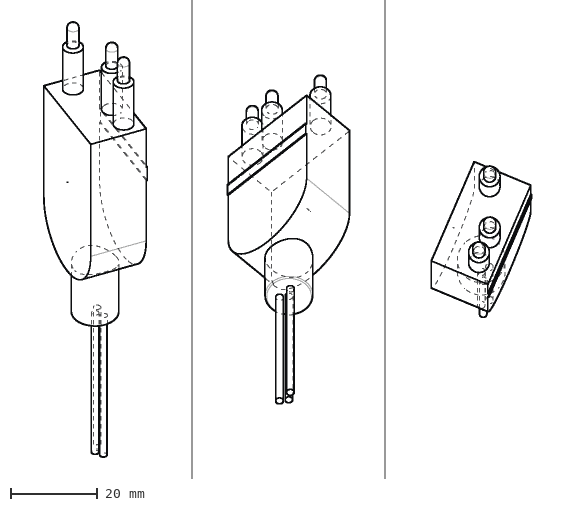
import cadquery as cq
import math

housing_width = 25.4
housing_depth = 14.2
housing_top = 98.8
housing_radius = housing_width / 2
housing_bottom = 54.1
arc_centre_z = housing_bottom + housing_radius

band_height = 3.9
band_relief = 0.2
band_centre_z = 85.9

pinhole_diameter = 0.051
pinhole_depth = 1.2
pinhole_z = 79.5

sleeve_diameter = 11.1
sleeve_bottom = 40.0
sleeve_edge_radius = 0.4

pin_top = 117.6
pin_body_diameter = 4.8
pin_tip_diameter = 2.8
pin_tip_flat_diameter = 0.051
pin_shoulder_base_z = 110.8
pin_shoulder_top_z = 111.3
pin_places = [(-8.7, -1.5), (2.4, 3.2), (8.7, 3.2)]

wire_diameter = 1.8
wire_pitch = 1.8
wire_back_y = 1.3
wire_front_y = 0.0
wire_places = [(-wire_pitch, wire_back_y), (0, wire_front_y), (wire_pitch, wire_back_y)]


def make_housing():
    block = (
        cq.Workplane("XZ")
        .moveTo(-housing_radius, housing_top)
        .lineTo(housing_radius, housing_top)
        .lineTo(housing_radius, arc_centre_z)
        .threePointArc((0, housing_bottom), (-housing_radius, arc_centre_z))
        .close()
        .extrude(housing_depth / 2, both=True)
    )
    band = (
        cq.Workplane("XY")
        .box(housing_width, band_relief, band_height)
        .translate((0, (housing_depth + band_relief) / 2, band_centre_z))
    )
    pinhole = (
        cq.Workplane("XZ", origin=(0, -housing_depth / 2, pinhole_z))
        .circle(pinhole_diameter / 2)
        .extrude(-pinhole_depth)
    )
    return block.union(band).cut(pinhole)


def make_sleeve(housing):
    return (
        cq.Workplane("XY", origin=(0, 0, sleeve_bottom))
        .circle(sleeve_diameter / 2)
        .extrude(arc_centre_z - sleeve_bottom)
        .faces("<Z")
        .edges()
        .fillet(sleeve_edge_radius)
        .cut(housing)
    )


def make_pin(x, y):
    body_radius = pin_body_diameter / 2
    tip_radius = pin_tip_diameter / 2
    flat_radius = pin_tip_flat_diameter / 2
    tip_round = tip_radius - flat_radius
    diagonal = math.sqrt(0.5)
    return (
        cq.Workplane("XZ")
        .moveTo(0, housing_top)
        .lineTo(body_radius, housing_top)
        .lineTo(body_radius, pin_shoulder_base_z)
        .lineTo(tip_radius, pin_shoulder_top_z)
        .lineTo(tip_radius, pin_top - tip_round)
        .threePointArc(
            (flat_radius + tip_round * diagonal, pin_top - tip_round * (1 - diagonal)),
            (flat_radius, pin_top),
        )
        .lineTo(0, pin_top)
        .close()
        .revolve(360, (0, 0, 0), (0, 1, 0))
        .translate((x, y, 0))
    )


def make_wire(x, y):
    return cq.Workplane("XY").center(x, y).circle(wire_diameter / 2).extrude(sleeve_bottom)


housing = make_housing()
sleeve = make_sleeve(housing)
pins = [make_pin(x, y).val() for x, y in pin_places]
wires = [make_wire(x, y).val() for x, y in wire_places]

result = cq.Compound.makeCompound([housing.val(), sleeve.val(), *pins, *wires])